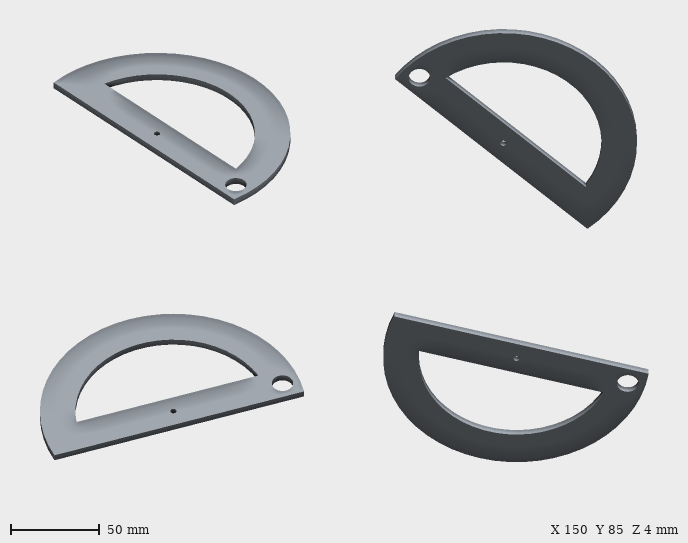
import cadquery as cq
import math

outer_radius = 75.0
thickness = 4.0
base_half_width = 10.0
rim_width = 20.0
centre_hole_diameter = 3.5
hang_hole_diameter = 12.0
hang_hole_x = 65.0

window_radius = outer_radius - rim_width


def disc_above(radius, chord_y):
    """Circular segment about the origin, bounded below by a horizontal chord."""
    chord_half_length = math.sqrt(radius**2 - chord_y**2)
    return (
        cq.Workplane("XY")
        .moveTo(-chord_half_length, chord_y)
        .threePointArc((0, radius), (chord_half_length, chord_y))
        .close()
        .extrude(thickness)
    )


def through_hole(x, diameter):
    """Round cutter through the plate on the base line of the arcs."""
    return cq.Workplane("XY").center(x, 0).circle(diameter / 2).extrude(thickness)


plate = disc_above(outer_radius, -base_half_width)
window = disc_above(window_radius, base_half_width)

result = (
    plate.cut(window)
    .cut(through_hole(0, centre_hole_diameter))
    .cut(through_hole(hang_hole_x, hang_hole_diameter))
)